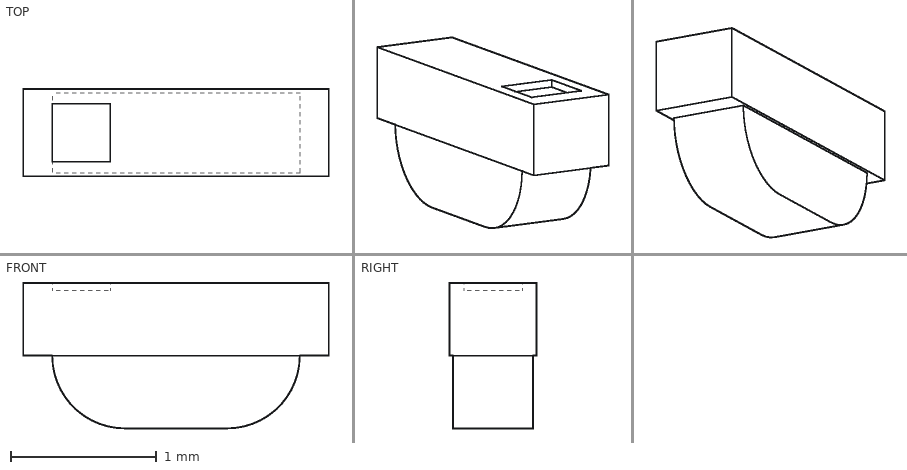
import cadquery as cq

body_length = 2.1
body_width = 0.6
body_height = 0.5

lens_length = 1.7
lens_width = 0.55
lens_height = 0.5

pocket_side = 0.4
pocket_end_gap = 0.2
pocket_depth = 0.05


def make_body():
    return cq.Workplane("XY").box(body_length, body_width, body_height, centered=(True, True, False))


def make_lens():
    half_length = lens_length / 2
    half_flat = half_length - lens_height
    arc_offset = lens_height * 0.5 ** 0.5
    return (
        cq.Workplane("XZ")
        .moveTo(-half_length, 0)
        .threePointArc((-half_flat - arc_offset, -arc_offset), (-half_flat, -lens_height))
        .lineTo(half_flat, -lens_height)
        .threePointArc((half_flat + arc_offset, -arc_offset), (half_length, 0))
        .close()
        .extrude(lens_width / 2, both=True)
    )


def make_pocket():
    center_x = -body_length / 2 + pocket_end_gap + pocket_side / 2
    return (
        cq.Workplane("XY", origin=(center_x, 0, body_height))
        .rect(pocket_side, pocket_side)
        .extrude(-pocket_depth)
    )


result = make_body().union(make_lens()).cut(make_pocket())